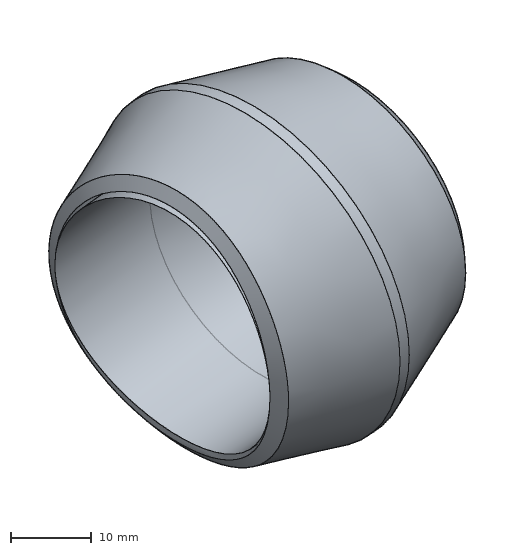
import cadquery as cq
import math

length = 35.35
rim_radius = 25.4
back_y = length / 2
front_y = -length / 2

rim_width = 1.7
rim_back_y = 0.0
rim_front_y = rim_back_y - rim_width
weld_shoulder_radius = 20.1
weld_face_radius = 18.3
weld_bevel_length = 1.75
front_cone_slope = 0.34

mouth_radius = 18.25
outlet_radius = 16.65
taper_start_y = -0.4

saddle_radius = 85.35
saddle_axis_y = front_y - math.sqrt(saddle_radius**2 - mouth_radius**2)

bevel_tip_x = mouth_radius
bevel_tip_z = 16.55
bevel_slope_x = 1.86
bevel_slope_z = 1.4
bevel_depth = 6.1


def make_body():
    tip_radius = rim_radius - front_cone_slope * (rim_front_y - front_y)
    return (
        cq.Workplane("XY")
        .moveTo(0, front_y)
        .lineTo(tip_radius, front_y)
        .lineTo(rim_radius, rim_front_y)
        .lineTo(rim_radius, rim_back_y)
        .lineTo(weld_shoulder_radius, back_y - weld_bevel_length)
        .lineTo(weld_face_radius, back_y)
        .lineTo(0, back_y)
        .close()
        .revolve(360, (0, 0, 0), (0, 1, 0))
    )


def make_bore():
    return (
        cq.Workplane("XY")
        .moveTo(0, front_y)
        .lineTo(mouth_radius, front_y)
        .lineTo(mouth_radius, taper_start_y)
        .lineTo(outlet_radius, back_y)
        .lineTo(0, back_y)
        .close()
        .revolve(360, (0, 0, 0), (0, 1, 0))
    )


def make_saddle():
    return (
        cq.Workplane("XY")
        .center(0, saddle_axis_y)
        .circle(saddle_radius)
        .extrude(rim_radius, both=True)
    )


def make_bevel_cutter():
    """Block around the front end with the funnel removed from it."""
    block = (
        cq.Workplane("XZ", origin=(0, front_y, 0))
        .rect(4 * rim_radius, 4 * rim_radius)
        .extrude(-bevel_depth)
    )
    funnel = (
        cq.Workplane("XZ", origin=(0, front_y, 0))
        .ellipse(bevel_tip_x, bevel_tip_z)
        .workplane(offset=-bevel_depth)
        .ellipse(
            bevel_tip_x + bevel_slope_x * bevel_depth,
            bevel_tip_z + bevel_slope_z * bevel_depth,
        )
        .loft(ruled=True)
    )
    return block.cut(funnel)


result = make_body().cut(make_bevel_cutter()).cut(make_saddle()).cut(make_bore())